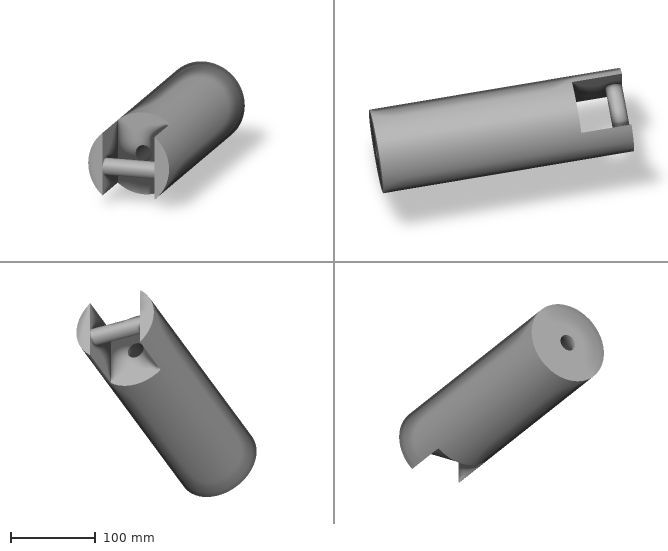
import cadquery as cq

length = 300.0
body_diameter = 100.0
slot_width = 64.2
slot_depth = 60.0
pin_diameter = 20.0
bore_diameter = 20.0
pin_drop = 5.0

front_y = -length / 2
pin_y = front_y + pin_diameter / 2


def centred_cylinder(plane, diameter, height):
    """Cylinder normal to the plane, centred on the origin."""
    return cq.Workplane(plane).workplane(offset=-height / 2).circle(diameter / 2).extrude(height)


body = centred_cylinder("XZ", body_diameter, length)

slot = cq.Workplane("XY").box(slot_width, slot_depth, body_diameter)
slot = slot.translate((0, front_y + slot_depth / 2, 0))

bore = centred_cylinder("XZ", bore_diameter, length)

pin = centred_cylinder("YZ", pin_diameter, slot_width)
pin = pin.translate((0, pin_y, -pin_drop))

result = body.cut(slot).cut(bore).union(pin)